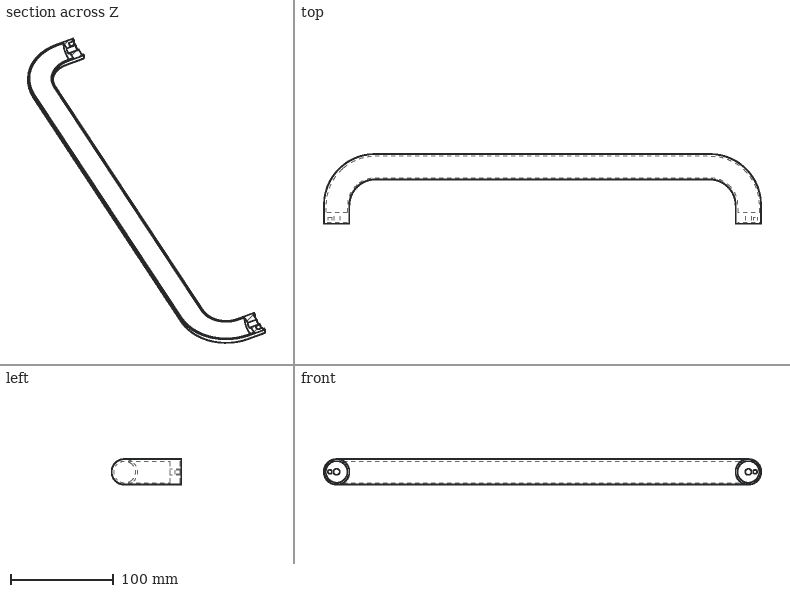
import cadquery as cq

tube_diameter = 25.0
mounting_spacing = 400.0
overall_depth = 68.0
bend_outer_radius = 50.0

wall_thickness = 2.0
plug_recess = 1.5
plug_thickness = 10.0
screw_hole_diameter = 6.0
pin_hole_diameter = 4.0
pin_hole_depth = 5.0
pin_offset = 6.5

tube_radius = tube_diameter / 2
bore_radius = tube_radius - wall_thickness
bend_radius = bend_outer_radius - tube_radius
leg_x = mounting_spacing / 2
grip_y = overall_depth - tube_radius
leg_length = grip_y - bend_radius
grip_half_length = leg_x - bend_radius


def bent_bar(radius):
    """Round bar: leg, bend, grip, bend, leg, each joined tangentially."""
    path = (
        cq.Workplane("XY")
        .moveTo(-leg_x, 0)
        .lineTo(-leg_x, leg_length)
        .tangentArcPoint((-grip_half_length, grip_y), relative=False)
        .lineTo(grip_half_length, grip_y)
        .tangentArcPoint((leg_x, leg_length), relative=False)
        .lineTo(leg_x, 0)
    )
    return cq.Workplane("XZ").center(-leg_x, 0).circle(radius).sweep(path)


def cylinder_along_y(x, start_y, radius, length):
    """Cylinder at height z = 0 running toward +Y from start_y."""
    return cq.Workplane("XZ", origin=(x, start_y, 0)).circle(radius).extrude(-length)


def end_plug(side):
    """Plug with a through screw hole and a blind pin hole; side is -1 (left) or 1 (right)."""
    axis_x = side * leg_x
    pin_x = axis_x + side * pin_offset
    plug = cylinder_along_y(axis_x, plug_recess, bore_radius, plug_thickness)
    screw_hole = cylinder_along_y(axis_x, plug_recess, screw_hole_diameter / 2, plug_thickness)
    pin_hole = cylinder_along_y(pin_x, plug_recess, pin_hole_diameter / 2, pin_hole_depth)
    return plug.cut(screw_hole).cut(pin_hole)


result = bent_bar(tube_radius).cut(bent_bar(bore_radius))
for side in (-1, 1):
    result = result.union(end_plug(side))